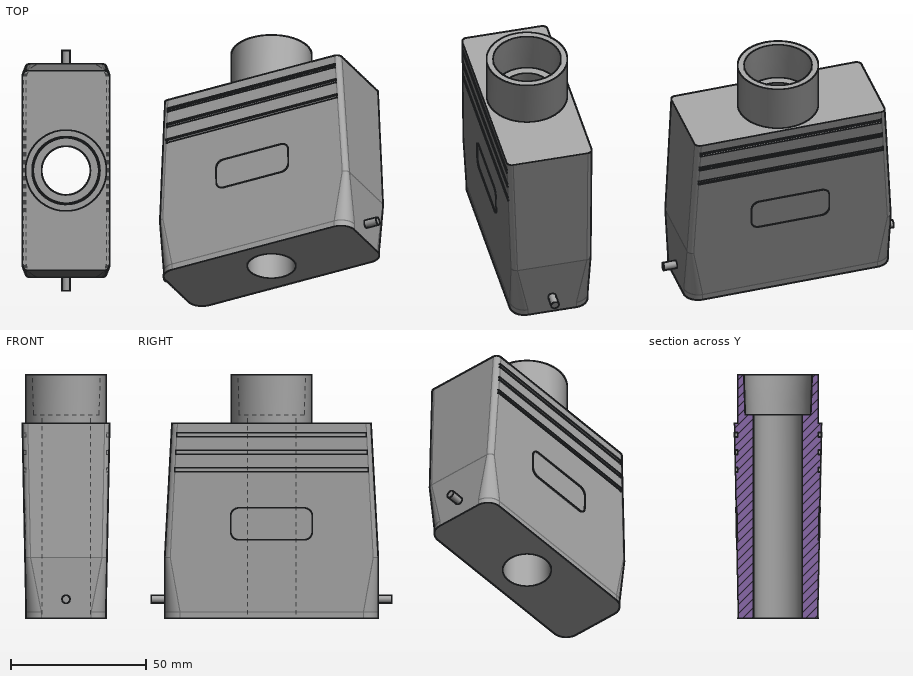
import cadquery as cq
import math

total_height = 90.3
collar_height = 18.0
body_height = total_height - collar_height
rim_height = 2.5
knee_height = 22.7

top_width = 32.4
rim_width = 29.6
top_length = 73.8
base_length = 79.1
upper_corner_radius = 2.0
base_corner_radius = 5.6

side_slope = (top_width - rim_width) / (body_height - rim_height)
knee_width = rim_width + side_slope * (knee_height - rim_height)
end_slope = (base_length - top_length) / (body_height - knee_height)

collar_diameter = 30.0
bore_mouth_diameter = 25.2
bore_floor_diameter = 24.2
bore_depth = 14.8
through_hole_diameter = 18.0

pin_diameter = 3.0
pin_span = 89.0
pin_height = 7.1

groove_count = 3
groove_height = 1.5
groove_pitch = 6.5
first_groove_bottom = 67.3
groove_floor_width = 30.0

plate_length = 30.2
plate_height = 11.8
plate_corner_radius = 3.0
plate_center_height = 35.0
plate_depth = 0.3


def width_at(z):
    """Body width along X at height z, from the rim up."""
    return rim_width + side_slope * (z - rim_height)


def flat_length_at(z):
    """Length of a broad side between its rounded corners, above the knee."""
    return base_length - end_slope * (z - knee_height) - 2 * upper_corner_radius


def frustum(lower, upper):
    """Ruled solid between two (z, width, length, corner radius) sections."""
    sketches = []
    for z, width, length, radius in (lower, upper):
        outline = cq.Sketch().rect(width, length).vertices().fillet(radius)
        sketches.append(outline.moved(cq.Location(cq.Vector(0, 0, z))))
    return cq.Workplane("XY").placeSketch(*sketches).loft(ruled=True)


def make_body():
    base = (0, rim_width, base_length, base_corner_radius)
    rim = (rim_height, rim_width, base_length, base_corner_radius)
    knee = (knee_height, knee_width, base_length, upper_corner_radius)
    top = (body_height, top_width, top_length, upper_corner_radius)
    return frustum(base, rim).union(frustum(rim, knee)).union(frustum(knee, top))


def make_collar():
    seat = cq.Workplane("XY", origin=(0, 0, body_height))
    return seat.circle(collar_diameter / 2).extrude(collar_height)


def make_bore():
    """Tapered blind bore from the collar mouth, then a straight hole through the bottom."""
    bore_floor = total_height - bore_depth
    profile = [
        (0, 0),
        (through_hole_diameter / 2, 0),
        (through_hole_diameter / 2, bore_floor),
        (bore_floor_diameter / 2, bore_floor),
        (bore_mouth_diameter / 2, total_height),
        (0, total_height),
    ]
    return cq.Workplane("XZ").polyline(profile).close().revolve(360, (0, 0), (0, 1))


def make_pin(side):
    """Round pin on the end face at side = -1 (-Y) or +1 (+Y)."""
    root = base_length / 2 - pin_diameter
    pin = cq.Workplane("XZ", origin=(0, -root, pin_height)).circle(pin_diameter / 2)
    pin = pin.extrude(pin_span / 2 - root)
    return pin if side < 0 else pin.mirror("XZ")


def make_groove(bottom):
    """Cutters for one groove on both broad sides, with vertical floors and closed ends."""
    length = flat_length_at(bottom + groove_height)
    plane = cq.Workplane("XY", origin=(0, 0, bottom))
    block = plane.rect(2 * top_width, length).extrude(groove_height)
    core = plane.rect(groove_floor_width, length).extrude(groove_height)
    return block.cut(core)


def make_plate_recess(side):
    """Rounded cutter whose floor is parallel to the sloping side face at side = -1 or +1."""
    tilt = side * math.degrees(math.atan(side_slope / 2))
    outline = cq.Workplane("YZ").rect(plate_length, plate_height).extrude(2 * plate_depth, both=True)
    cutter = outline.edges("|X").fillet(plate_corner_radius)
    cutter = cutter.translate((side * plate_depth, 0, 0)).rotate((0, 0, 0), (0, 1, 0), tilt)
    return cutter.translate((side * width_at(plate_center_height) / 2, 0, plate_center_height))


result = make_body().union(make_collar()).cut(make_bore())
for side in (-1, 1):
    result = result.union(make_pin(side))
for index in range(groove_count):
    result = result.cut(make_groove(first_groove_bottom - index * groove_pitch))
for side in (-1, 1):
    result = result.cut(make_plate_recess(side))